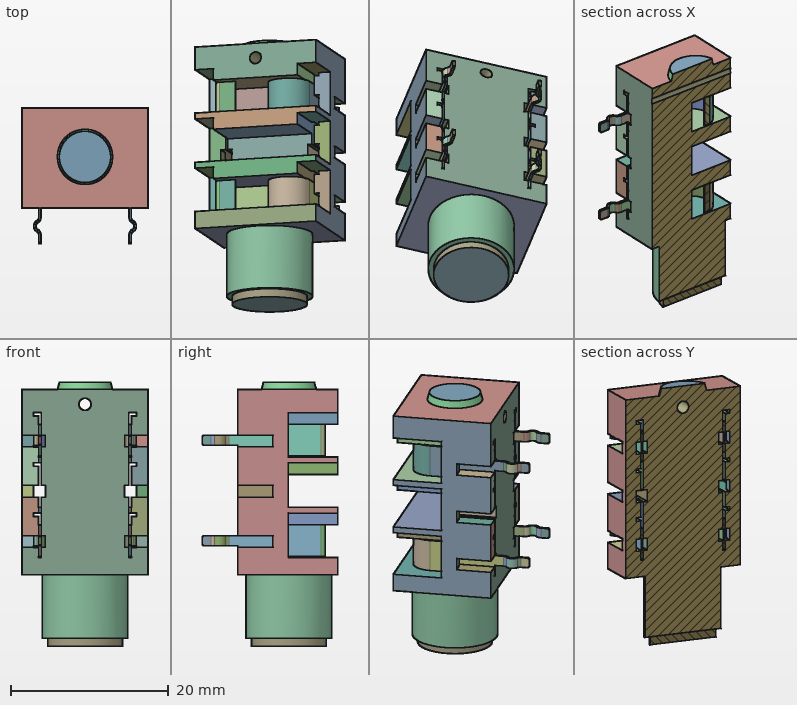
import cadquery as cq
import math


BLOCK_WIDTH = 16.0
BLOCK_FRONT = -6.5
BLOCK_BACK = 6.2
BLOCK_TOP = 32.55

FERRULE_DIAMETER = 9.5
FERRULE_HEIGHT = 1.05
NOSE_DIAMETER = 10.9
NOSE_TOP = 9.08
BOSS_BASE_DIAMETER = 7.0
BOSS_TOP_DIAMETER = 6.5
OVERALL_HEIGHT = 33.5

CROSS_HOLE_DIAMETER = 1.5
CROSS_HOLE_Z = 30.7

STATION_COUNT = 3
STATION_PITCH = 6.35
LOWEST_STATION_BASE = 11.3
CONTACT_STATIONS = (0, 2)
SIDES = (-1, 1)

POCKET_FRONT = -0.07
POCKET_HEIGHT = 4.12
SIDE_NOTCH_HEIGHT = 5.6

CONTACT_THICKNESS = 0.3
SLOT_INNER_X = 5.55
SLOT_OUTER_X = SLOT_INNER_X + CONTACT_THICKNESS
SLIT_OUTER_X = 6.5
SLIT_HEIGHT = 0.4

WINDOW_INNER_X = 5.02
WINDOW_OUTER_X = SLIT_OUTER_X
WINDOW_HEIGHT = 1.5
GROOVE_FLOOR_Y = -2.05

BLADE_HEIGHT = 4.02
BLADE_BACK = 4.62
CURL_RADIUS = 2.68
CORNER_RADIUS = 0.3
LEG_HEIGHT = 1.3
LEG_LENGTH = 4.5
LEG_TIP_CHAMFER = 0.17
KINK_CENTER_Y = -8.78
BEND_RADIUS = 0.5
BEND_ANGLE = math.radians(60)

CURL_CENTER_X = SLOT_OUTER_X - CURL_RADIUS
CURL_CENTER_Y = BLADE_BACK - CURL_RADIUS
LEAF_END_X = CURL_CENTER_X
LEG_TIP = BLOCK_FRONT - LEG_LENGTH

BLADE_CLEARANCE = POCKET_HEIGHT - BLADE_HEIGHT
BLADE_Z = (BLADE_CLEARANCE, POCKET_HEIGHT)
BLADE_MIDDLE = BLADE_CLEARANCE + BLADE_HEIGHT / 2
LEG_BOTTOM = BLADE_MIDDLE - LEG_HEIGHT / 2
WINDOW_TOP = LEG_BOTTOM + LEG_HEIGHT


def box(x_range, y_range, z_range):
    """Axis-aligned box; the two ends of each range may come in either order."""
    lengths = [abs(end - start) for start, end in (x_range, y_range, z_range)]
    corner = (min(x_range), min(y_range), min(z_range))
    return cq.Workplane("XY").box(*lengths, centered=False).translate(corner)


def disc(diameter, bottom, top):
    return cq.Workplane("XY").workplane(offset=bottom).circle(diameter / 2).extrude(top - bottom)


def station_base(station):
    return LOWEST_STATION_BASE + station * STATION_PITCH


def make_blank():
    """Block with its nose, its tapered end boss and the cross hole."""
    half_width = BLOCK_WIDTH / 2
    block = box((-half_width, half_width), (BLOCK_FRONT, BLOCK_BACK), (NOSE_TOP, BLOCK_TOP))
    nose = disc(NOSE_DIAMETER, FERRULE_HEIGHT, NOSE_TOP)
    boss = (
        cq.Workplane("XY", origin=(0, 0, BLOCK_TOP))
        .circle(BOSS_BASE_DIAMETER / 2)
        .workplane(offset=OVERALL_HEIGHT - BLOCK_TOP)
        .circle(BOSS_TOP_DIAMETER / 2)
        .loft()
    )
    cross_hole = (
        cq.Workplane("XZ", origin=(0, BLOCK_BACK, CROSS_HOLE_Z))
        .circle(CROSS_HOLE_DIAMETER / 2)
        .extrude(BLOCK_BACK - BLOCK_FRONT)
    )
    return block.union(nose).union(boss).cut(cross_hole)


def cut_station(housing, base):
    """Cut the back pocket, side notches, slits, windows and side grooves of one station."""
    half_width = BLOCK_WIDTH / 2
    back = (POCKET_FRONT, BLOCK_BACK)
    wall = (BLOCK_FRONT, POCKET_FRONT)
    notch_top = base + SIDE_NOTCH_HEIGHT
    window_top = base + WINDOW_TOP
    window_z = (window_top - WINDOW_HEIGHT, window_top)

    housing = housing.cut(box((-half_width, half_width), back, (base, base + POCKET_HEIGHT)))
    for side in SIDES:
        edge = side * half_width
        slit_x = (side * SLOT_INNER_X, side * SLIT_OUTER_X)
        window_x = (side * WINDOW_INNER_X, side * WINDOW_OUTER_X)
        groove_x = (side * WINDOW_OUTER_X, edge)
        housing = (
            housing
            .cut(box((side * SLOT_INNER_X, edge), back, (base, notch_top)))
            .cut(box(slit_x, wall, (notch_top - SLIT_HEIGHT, notch_top)))
            .cut(box(window_x, wall, window_z))
            .cut(box(groove_x, (BLOCK_FRONT, GROOVE_FLOOR_Y), window_z))
        )
    return housing


def make_housing():
    housing = make_blank()
    for station in range(STATION_COUNT):
        housing = cut_station(housing, station_base(station))

    slot_top = station_base(STATION_COUNT - 1) + SIDE_NOTCH_HEIGHT
    for side in SIDES:
        slot_x = (side * SLOT_INNER_X, side * SLOT_OUTER_X)
        slot = box(slot_x, (BLOCK_FRONT, POCKET_FRONT), (LOWEST_STATION_BASE, slot_top))
        housing = housing.cut(slot)
    return housing


def make_curled_blade():
    """Blade from the front face to the pocket, then a half-turn curl towards the jack axis."""
    inner_radius = CURL_RADIUS - CONTACT_THICKNESS
    return (
        cq.Workplane("XY", origin=(0, 0, BLADE_CLEARANCE))
        .moveTo(SLOT_INNER_X, BLOCK_FRONT)
        .lineTo(SLOT_OUTER_X, BLOCK_FRONT)
        .lineTo(SLOT_OUTER_X, CURL_CENTER_Y)
        .threePointArc((CURL_CENTER_X, BLADE_BACK), (CURL_CENTER_X - CURL_RADIUS, CURL_CENTER_Y))
        .lineTo(CURL_CENTER_X - inner_radius, CURL_CENTER_Y)
        .threePointArc((CURL_CENTER_X, CURL_CENTER_Y + inner_radius), (SLOT_INNER_X, CURL_CENTER_Y))
        .close()
        .extrude(BLADE_HEIGHT)
    )


def make_angled_blade():
    """Blade from the front face to the pocket, then a tight corner and a flat inward leaf."""
    leaf_front = BLADE_BACK - CONTACT_THICKNESS
    outer_radius = CORNER_RADIUS + CONTACT_THICKNESS
    blade = box((SLOT_INNER_X, SLOT_OUTER_X), (BLOCK_FRONT, BLADE_BACK), BLADE_Z)
    leaf = box((LEAF_END_X, SLOT_OUTER_X), (leaf_front, BLADE_BACK), BLADE_Z)
    inner_corner = cq.selectors.NearestToPointSelector((SLOT_INNER_X, leaf_front, BLADE_MIDDLE))
    outer_corner = cq.selectors.NearestToPointSelector((SLOT_OUTER_X, BLADE_BACK, BLADE_MIDDLE))
    return (
        blade.union(leaf)
        .edges("|Z").edges(inner_corner).fillet(CORNER_RADIUS)
        .edges("|Z").edges(outer_corner).fillet(outer_radius)
    )


def trace_kink(profile, knee_radius, crest_radius, direction):
    """Draw one face of the kink, running along Y in the given direction (+1 or -1)."""
    knee_center_x = SLOT_OUTER_X + BEND_RADIUS
    center_distance = knee_radius + crest_radius
    crest_center_x = knee_center_x - center_distance * math.cos(BEND_ANGLE)
    knee_offset = center_distance * math.sin(BEND_ANGLE)

    def knee_point(end, angle):
        along = knee_offset - knee_radius * math.sin(angle)
        return knee_center_x - knee_radius * math.cos(angle), KINK_CENTER_Y + end * along

    return (
        profile
        .lineTo(*knee_point(-direction, 0))
        .threePointArc(knee_point(-direction, BEND_ANGLE / 2), knee_point(-direction, BEND_ANGLE))
        .threePointArc((crest_center_x + crest_radius, KINK_CENTER_Y), knee_point(direction, BEND_ANGLE))
        .threePointArc(knee_point(direction, BEND_ANGLE / 2), knee_point(direction, 0))
    )


def make_leg():
    """Narrow strip with an outward kink, even in thickness, and a chamfered tip."""
    wide_radius = BEND_RADIUS + CONTACT_THICKNESS
    profile = cq.Workplane("XY", origin=(0, 0, LEG_BOTTOM)).moveTo(SLOT_OUTER_X, BLOCK_FRONT)
    profile = trace_kink(profile, BEND_RADIUS, wide_radius, -1)
    profile = profile.lineTo(SLOT_OUTER_X, LEG_TIP).lineTo(SLOT_INNER_X, LEG_TIP)
    profile = trace_kink(profile, wide_radius, BEND_RADIUS, 1)
    leg = profile.lineTo(SLOT_INNER_X, BLOCK_FRONT).close().extrude(LEG_HEIGHT)
    return leg.faces("<Y").edges("|X").chamfer(LEG_TIP_CHAMFER)


def make_curled_contact(base):
    """Contact on the -X side of a station."""
    contact = make_curled_blade().union(make_leg())
    return contact.mirror("YZ").translate((0, 0, base))


def make_angled_contact(base):
    """Contact on the +X side of a station."""
    contact = make_angled_blade().union(make_leg())
    return contact.translate((0, 0, base))


housing = make_housing()
ferrule = disc(FERRULE_DIAMETER, 0, FERRULE_HEIGHT)
contact_bases = [station_base(station) for station in CONTACT_STATIONS]
curled_contacts = [make_curled_contact(base).val() for base in contact_bases]
angled_contacts = [make_angled_contact(base).val() for base in contact_bases]

result = cq.Compound.makeCompound([housing.val(), ferrule.val(), *curled_contacts, *angled_contacts])